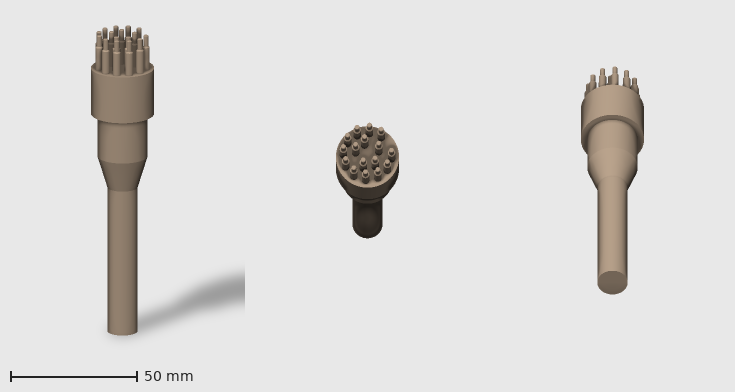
import cadquery as cq
import math

total_length = 124.0

cable_diameter = 12.0
cable_length = 60.0
cone_length = 13.0
neck_diameter = 20.0
neck_length = 17.6
head_diameter = 25.0
head_length = 19.1

pin_diameter = 3.0
tip_diameter = 2.0
tip_length = 5.0
shoulder_chamfer = (pin_diameter - tip_diameter) / 2
tip_chamfer = 0.2

outer_ring_radius = 9.5
outer_ring_positions = 12
empty_position = 3

inner_ring_radius = 5.0
inner_ring_angles = [90, 12, 168, -45, -135]

cone_top = cable_length + cone_length
neck_top = cone_top + neck_length
head_top = neck_top + head_length
pin_length = total_length - head_top - tip_length


def polar_point(radius, angle):
    """Point on a circle around the Z axis, with the angle in degrees."""
    return (radius * math.cos(math.radians(angle)), radius * math.sin(math.radians(angle)))


def make_body():
    """Cable, cone, neck and head as one turned profile."""
    return (
        cq.Workplane("XZ")
        .lineTo(cable_diameter / 2, 0)
        .lineTo(cable_diameter / 2, cable_length)
        .lineTo(neck_diameter / 2, cone_top)
        .lineTo(neck_diameter / 2, neck_top)
        .lineTo(head_diameter / 2, neck_top)
        .lineTo(head_diameter / 2, head_top)
        .lineTo(0, head_top)
        .close()
        .revolve(360, (0, 0), (0, 1))
    )


def contact_points():
    """Centres of all contact pins on the head."""
    angle_step = 360 / outer_ring_positions
    outer = [
        polar_point(outer_ring_radius, position * angle_step)
        for position in range(outer_ring_positions)
        if position != empty_position
    ]
    inner = [polar_point(inner_ring_radius, angle) for angle in inner_ring_angles]
    return outer + inner


def make_pin():
    """Thick pin narrowing through a cone to a thinner, chamfered tip, standing on Z = 0."""
    full_length = pin_length + tip_length
    return (
        cq.Workplane("XZ")
        .lineTo(pin_diameter / 2, 0)
        .lineTo(pin_diameter / 2, pin_length)
        .lineTo(tip_diameter / 2, pin_length + shoulder_chamfer)
        .lineTo(tip_diameter / 2, full_length - tip_chamfer)
        .lineTo(tip_diameter / 2 - tip_chamfer, full_length)
        .lineTo(0, full_length)
        .close()
        .revolve(360, (0, 0), (0, 1))
    )


def add_pins(body):
    """Stand a stepped pin at every contact point."""
    pin = make_pin()
    for x, y in contact_points():
        body = body.union(pin.translate((x, y, head_top)))
    return body


result = add_pins(make_body())